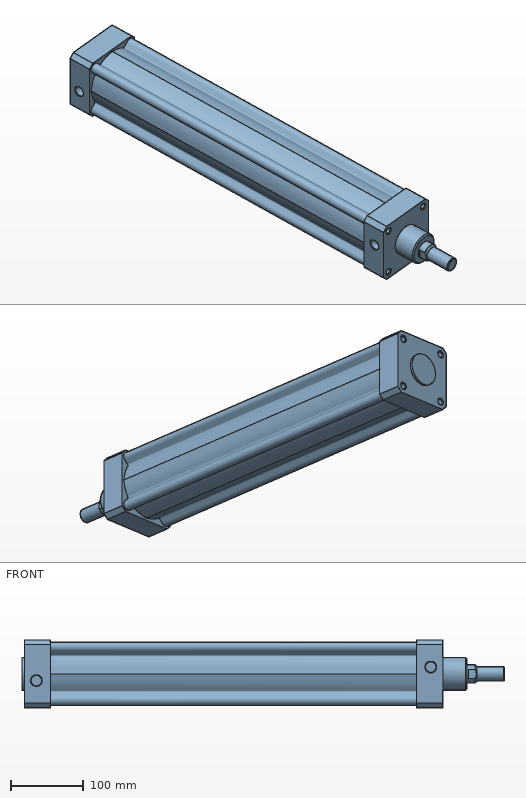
import cadquery as cq
import math

overall_length = 668.0

cap_width = 94.0
cap_length = 36.0
cap_bevel = 7.0
collar_radius = 23.0

rear_collar_length = 3.5
front_collar_length = 33.5
front_collar_chamfer = 2.0
barrel_length = 507.0
rear_cap_start = rear_collar_length
barrel_start = rear_cap_start + cap_length
front_cap_start = barrel_start + barrel_length
front_cap_end = front_cap_start + cap_length
rod_start = front_cap_end + front_collar_length

port_radius = 7.5
port_chamfer = 1.0
port_depth = 13.5
port_inset = 17.0
port_offset = 9.5

screw_offset = 36.0
screw_radius = 4.0
screw_chamfer = 1.5
screw_depth = 13.5

core_diameter = 86.0
core_radius = core_diameter / 2
lobe_offset = 37.0
lobe_radius = 7.5
lobe_fillet = 2.35
ridge_rise = 2.0
ridge_half_width = 9.5

shank_radius = 13.0
shank_length = 14.0
shank_chamfer = 3.0
flat_inset = 2.0
flat_spacing = 22.0
thread_radius = 10.0
thread_chamfer = 1.5


def x_plane(x):
    """Sketch plane across the axis at x, with local x along Y and local y along Z."""
    return cq.Workplane("YZ", origin=(x, 0, 0))


def cap_block(start):
    """Square block beginning at x = start, with its four long edges bevelled."""
    block = x_plane(start).rect(cap_width, cap_width).extrude(cap_length)
    return block.edges("|X").chamfer(cap_bevel)


def hole_cutter(mouth, inward, radius, depth, chamfer):
    """Cutter for a blind round hole with a chamfered mouth."""
    hole = cq.Solid.makeCylinder(radius, depth, mouth, inward)
    countersink = cq.Solid.makeCone(radius + chamfer, radius, chamfer, mouth, inward)
    return hole.fuse(countersink)


def cut_port(cap, x, z):
    """Blind air port going inward from the -Y face."""
    mouth = cq.Vector(x, -cap_width / 2, z)
    return cap.cut(hole_cutter(mouth, cq.Vector(0, 1, 0), port_radius, port_depth, port_chamfer))


def cut_screw_holes(cap, outer_face, inward):
    """Four holes in the outer face; inward is +1 or -1 along X."""
    for y in (-screw_offset, screw_offset):
        for z in (-screw_offset, screw_offset):
            mouth = cq.Vector(outer_face, y, z)
            direction = cq.Vector(inward, 0, 0)
            cap = cap.cut(hole_cutter(mouth, direction, screw_radius, screw_depth, screw_chamfer))
    return cap


def make_rear_cap():
    collar = x_plane(0).circle(collar_radius).extrude(rear_collar_length)
    cap = cap_block(rear_cap_start).union(collar)
    cap = cut_port(cap, rear_cap_start + port_inset, -port_offset)
    return cut_screw_holes(cap, rear_cap_start, 1)


def make_front_cap():
    collar = x_plane(front_cap_end).circle(collar_radius).extrude(front_collar_length)
    collar = collar.faces(">X").edges().chamfer(front_collar_chamfer)
    cap = cap_block(front_cap_start).union(collar)
    cap = cut_port(cap, front_cap_end - port_inset, port_offset)
    return cut_screw_holes(cap, front_cap_end, -1)


def make_barrel():
    barrel = x_plane(barrel_start).circle(core_radius).extrude(barrel_length)

    slot_length = 2 * (math.hypot(lobe_offset, lobe_offset) + lobe_radius)
    for angle in (45, 135):
        lobes = x_plane(barrel_start).slot2D(slot_length, 2 * lobe_radius, angle)
        barrel = barrel.union(lobes.extrude(barrel_length))

    flank_distance = math.sqrt(core_radius**2 - lobe_radius**2)
    root_far = (flank_distance + lobe_radius) / math.sqrt(2)
    root_near = (flank_distance - lobe_radius) / math.sqrt(2)
    roots = []
    for y_sign in (-1, 1):
        for z_sign in (-1, 1):
            for y, z in ((root_far, root_near), (root_near, root_far)):
                middle = (barrel_start + barrel_length / 2, y_sign * y, z_sign * z)
                roots += barrel.edges(cq.NearestToPointSelector(middle)).vals()
    barrel = barrel.newObject(roots).fillet(lobe_fillet)

    ridge_foot = math.sqrt(core_radius**2 - ridge_half_width**2)
    ridge_top = ridge_foot + ridge_rise
    roof = [(0, 0), (ridge_half_width, ridge_foot), (0, ridge_top), (-ridge_half_width, ridge_foot)]
    ridge = x_plane(barrel_start).polyline(roof).close().extrude(barrel_length)
    for turn in range(4):
        barrel = barrel.union(ridge.rotate((0, 0, 0), (1, 0, 0), 90 * turn))
    return barrel


def make_rod():
    shank = x_plane(rod_start).circle(shank_radius).extrude(shank_length)
    shank = shank.faces(">X").edges().chamfer(shank_chamfer)
    flats_start = rod_start + flat_inset
    flats_length = shank_length - flat_inset
    between_flats = x_plane(flats_start).rect(flat_spacing, 2 * shank_radius).extrude(flats_length)
    full_round = x_plane(rod_start).circle(shank_radius).extrude(flat_inset)
    shank = shank.intersect(between_flats.union(full_round))

    thread_start = rod_start + shank_length
    thread = x_plane(thread_start).circle(thread_radius).extrude(overall_length - thread_start)
    thread = thread.faces(">X").edges().chamfer(thread_chamfer)
    return shank.union(thread)


rear_cap = make_rear_cap()
barrel = make_barrel()
front_cap = make_front_cap()
rod = make_rod()

result = cq.Compound.makeCompound([rear_cap.val(), barrel.val(), front_cap.val(), rod.val()])